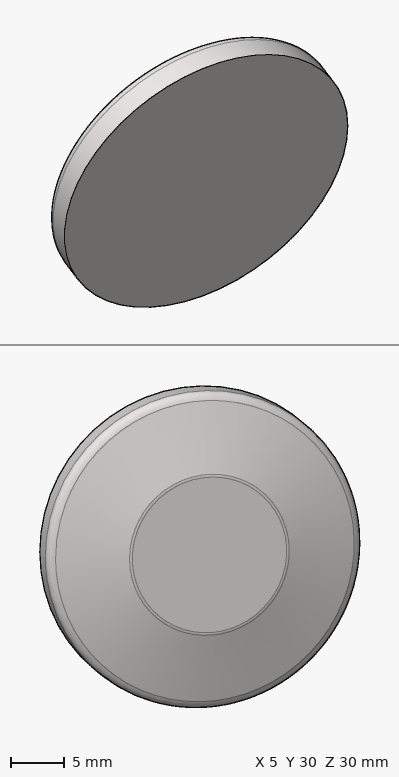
import cadquery as cq

outer_diameter = 30.0
face_diameter = 15.0
total_thickness = 5.0
rim_thickness = 3.0
edge_radius = 1.0

outer_radius = outer_diameter / 2
face_radius = face_diameter / 2
cone_height = total_thickness - rim_thickness


def make_disc():
    """Coned disc around the X axis, with its small flat face at X = 0."""
    half_profile = (
        cq.Workplane("XY")
        .moveTo(0, 0)
        .lineTo(0, face_radius)
        .lineTo(cone_height, outer_radius)
        .lineTo(total_thickness, outer_radius)
        .lineTo(total_thickness, 0)
        .close()
    )
    return half_profile.revolve(360, (0, 0, 0), (1, 0, 0))


def round_cone_edges(disc):
    """Round the circular edges at both ends of the cone."""
    return disc.faces("%CONE").edges("%CIRCLE").fillet(edge_radius)


result = round_cone_edges(make_disc())